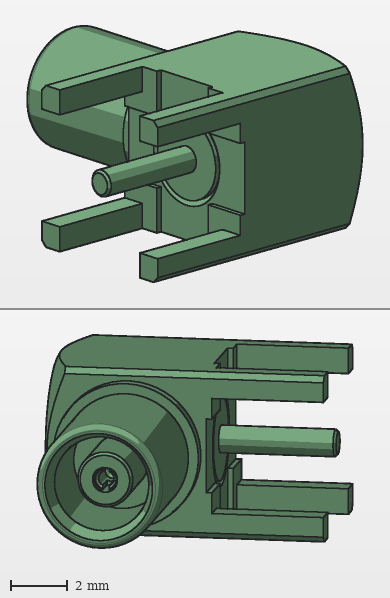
import cadquery as cq
import math

overall_length = 12.0
housing_width = 6.0
half_width = housing_width / 2
housing_x = overall_length - half_width
edge_chamfer = 0.22
back_y = half_width
pad_y = -half_width
face_y = -2.8
leg_end_y = -7.0
pad_width = 1.67
leg_width = 0.92

bevel_start_radius = 2.85
bevel_angle = 30.0

groove_outer_radius = 1.7
groove_inner_radius = 1.5
groove_depth = groove_outer_radius - groove_inner_radius
pin_radius = 0.49
pin_chamfer = 0.1

barrel_radius = 2.25
barrel_rounding = 0.22
flange_radius = 2.6
flange_thickness = 0.5
mouth_radius = 1.93
bore_radius = 1.69
mouth_depth = 0.6
bore_depth = 4.5

insulator_radius = 0.98
insulator_chamfer = 0.1
insulator_front_x = 1.26
contact_well_radius = 0.45
contact_tip_offset = 0.18
contact_radius = 0.42
contact_hole_radius = 0.28
countersink_radius = 0.37
countersink_depth = 0.1
contact_hole_depth = 1.44
drill_point_angle = 118.0
contact_slot_width = 0.24
contact_slot_depth = 0.96


def cylinder_x(start_x, end_x, radius):
    """Cylinder along the socket axis."""
    return cq.Workplane("YZ").workplane(offset=start_x).circle(radius).extrude(end_x - start_x)


def housing_prism(start_y, end_y):
    """Stretch of the square housing section with its four long edges chamfered."""
    return (
        cq.Workplane("XZ", origin=(housing_x, end_y, 0))
        .rect(housing_width, housing_width)
        .extrude(end_y - start_y)
        .edges("|Y")
        .chamfer(edge_chamfer)
    )


def corner_blocks(width, start_y, end_y):
    """Four square-section blocks in the corners of the housing section."""
    spacing = housing_width - width
    blocks = (
        cq.Workplane("XZ", origin=(housing_x, end_y, 0))
        .rect(spacing, spacing, forConstruction=True)
        .vertices()
        .rect(width, width)
        .extrude(end_y - start_y)
    )
    return blocks.intersect(housing_prism(start_y, end_y))


def bevel_envelope():
    """Turned body whose conical back end trims the housing."""
    outer_radius = housing_width
    bevel_drop = (outer_radius - bevel_start_radius) * math.tan(math.radians(bevel_angle))
    profile = [
        (0, leg_end_y),
        (outer_radius, leg_end_y),
        (outer_radius, back_y - bevel_drop),
        (bevel_start_radius, back_y),
        (0, back_y),
    ]
    turned = cq.Workplane("XY").polyline(profile).close().revolve(360, (0, 0, 0), (0, 1, 0))
    return turned.translate((housing_x, 0, 0))


def make_housing():
    body = housing_prism(face_y, back_y).intersect(bevel_envelope())
    body = body.union(corner_blocks(pad_width, pad_y, face_y))
    body = body.union(corner_blocks(leg_width, leg_end_y, face_y))
    groove_profile = [
        (groove_outer_radius, face_y),
        (groove_inner_radius, face_y),
        (groove_inner_radius, face_y + groove_depth),
    ]
    groove = cq.Workplane("XY").polyline(groove_profile).close().revolve(360, (0, 0, 0), (0, 1, 0))
    return body.cut(groove.translate((housing_x, 0, 0)))


def make_pin():
    pin_length = face_y - leg_end_y
    return (
        cq.Workplane("XZ", origin=(housing_x, face_y, 0))
        .circle(pin_radius)
        .extrude(pin_length)
        .faces("<Y")
        .chamfer(pin_chamfer)
    )


def make_barrel():
    housing_side_x = housing_x - half_width
    barrel = cylinder_x(0, housing_side_x, barrel_radius).faces("<X").edges().fillet(barrel_rounding)
    flange = cylinder_x(housing_side_x - flange_thickness, housing_side_x, flange_radius)
    bore_profile = [
        (0, 0),
        (0, mouth_radius),
        (mouth_depth, bore_radius),
        (bore_depth, bore_radius),
        (bore_depth, 0),
    ]
    bore = cq.Workplane("XY").polyline(bore_profile).close().revolve(360, (0, 0, 0), (1, 0, 0))
    return barrel.union(flange).cut(bore)


def make_insulator():
    """Insulator with a central well that leaves room for the contact."""
    well_floor_x = insulator_front_x + contact_tip_offset + contact_slot_depth
    insulator = cylinder_x(insulator_front_x, bore_depth, insulator_radius)
    insulator = insulator.faces("<X").edges().chamfer(insulator_chamfer)
    return insulator.cut(cylinder_x(insulator_front_x, well_floor_x, contact_well_radius))


def make_contact():
    """Slotted tube reaching back to the bore floor."""
    tip_x = insulator_front_x + contact_tip_offset
    contact = cylinder_x(tip_x, bore_depth, contact_radius)
    slot = cq.Workplane("XY").box(contact_slot_depth, contact_slot_width, 2 * contact_radius)
    return contact.cut(slot.translate((tip_x + contact_slot_depth / 2, 0, 0)))


def contact_hole():
    """Blind drilled hole with a countersunk mouth and a conical bottom."""
    tip_x = insulator_front_x + contact_tip_offset
    cone_x = tip_x + contact_hole_depth
    cone_length = contact_hole_radius / math.tan(math.radians(drill_point_angle / 2))
    profile = [
        (tip_x, 0),
        (tip_x, countersink_radius),
        (tip_x + countersink_depth, contact_hole_radius),
        (cone_x, contact_hole_radius),
        (cone_x + cone_length, 0),
    ]
    return cq.Workplane("XY").polyline(profile).close().revolve(360, (0, 0, 0), (1, 0, 0))


socket = make_barrel().union(make_insulator()).union(make_contact())
result = make_housing().union(make_pin()).union(socket).cut(contact_hole())